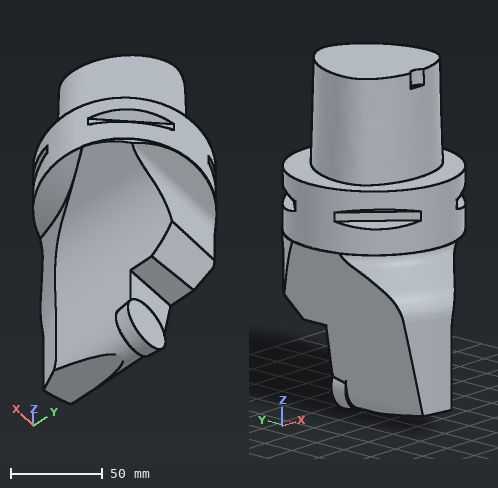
import cadquery as cq
import math


SHANK_LENGTH = 60.0
SHANK_BASE_RADIUS = 36.0
SHANK_TOP_RADIUS = 34.5
LOBE_HEIGHT = 2.5
LOBE_COUNT = 3
SHANK_CURVE_POINTS = 60
KEYWAY_RADIUS = 6.2
KEYWAY_BOTTOM_Y = -29.0
KEYWAY_DEPTH = 8.7

FLANGE_DIAMETER = 100.0
FLANGE_RADIUS = FLANGE_DIAMETER / 2
FLANGE_HEIGHT = 36.3
FLANGE_BOTTOM = -FLANGE_HEIGHT
UNDERSIDE_ANGLE = math.radians(15)
UNDERSIDE_END_RADIUS = 23.3
SLOT_FLOOR_DISTANCE = 44.0
SLOT_FLOOR_HEIGHT = 5.0
SLOT_MOUTH_HEIGHT = 11.3
SLOT_CENTRE_Z = -16.0
SLOT_COUNT = 4

INSERT_RADIUS = 16.0
INSERT_BACK_RADIUS = 15.0
INSERT_THICKNESS = 9.5
INSERT_X = -18.8
TOTAL_LENGTH = 194.0
INSERT_Z = SHANK_LENGTH - TOTAL_LENGTH + INSERT_RADIUS

ARM_RADIUS = 72.5
ARM_ROOT_RADIUS = 50.2
ARM_NOSE_RADIUS = 13.8
ARM_SIDE_ANGLE = math.radians(9.9)
ARM_SIDE_FILLET = 36.9
ARM_BACK_Y = 31.2
ARM_BACK_FILLET = 7.0
CORNER_CUT_ANGLE = -30.0
CORNER_CUT_DISTANCE = 22.3
CORNER_CUT_BEND_Z = -79.5
CORNER_CUT_BEND_RADIUS = 71.8
STEP_TOP_Z = -67.9
LEDGE_Z = -82.5
LEDGE_TILT = math.radians(2.5)
HEEL_Y = -71.2
HEEL_Z = -121.6
HEEL_ANGLE = math.radians(10.9)
FLARE_END_Z = -68.3
FLARE_SWEEP = math.radians(50)
FLARE_NECK_RADIUS = 8.7
FLARE_CREST_RADIUS = 19.4

CLEARANCE = 9.7
REACH = ARM_RADIUS + CLEARANCE
BELOW = SHANK_LENGTH - TOTAL_LENGTH - CLEARANCE


def polar(centre, radius, angle):
    return centre[0] + radius * math.cos(angle), centre[1] + radius * math.sin(angle)


def shank_outline(radius, z):
    """Constant-width three-lobed wire, given by its support function."""
    points = []
    for index in range(SHANK_CURVE_POINTS):
        angle = 2 * math.pi * index / SHANK_CURVE_POINTS
        phase = LOBE_COUNT * (angle - math.pi / 2)
        support = radius + LOBE_HEIGHT * math.cos(phase)
        slope = -LOBE_COUNT * LOBE_HEIGHT * math.sin(phase)
        points.append(cq.Vector(
            support * math.cos(angle) - slope * math.sin(angle),
            support * math.sin(angle) + slope * math.cos(angle),
            z,
        ))
    return cq.Wire.assembleEdges([cq.Edge.makeSpline(points, periodic=True)])


def make_shank():
    base = shank_outline(SHANK_BASE_RADIUS, 0)
    top = shank_outline(SHANK_TOP_RADIUS, SHANK_LENGTH)
    shank = cq.Workplane(cq.Solid.makeLoft([base, top], True))
    keyway = (
        cq.Workplane("XY", origin=(0, KEYWAY_BOTTOM_Y - KEYWAY_RADIUS, SHANK_LENGTH))
        .circle(KEYWAY_RADIUS).extrude(-KEYWAY_DEPTH)
    )
    return shank.cut(keyway)


def underside_z(radius):
    return FLANGE_BOTTOM - (FLANGE_RADIUS - radius) * math.tan(UNDERSIDE_ANGLE)


def make_flange():
    """Disc with a conical underside and four V-sided gripper slots."""
    flange = (
        cq.Workplane("XZ")
        .polyline([
            (0, 0), (FLANGE_RADIUS, 0), (FLANGE_RADIUS, FLANGE_BOTTOM),
            (UNDERSIDE_END_RADIUS, underside_z(UNDERSIDE_END_RADIUS)),
            (0, underside_z(UNDERSIDE_END_RADIUS)),
        ])
        .close().revolve(360, (0, 0), (0, 1))
    )
    floor_half = SLOT_FLOOR_HEIGHT / 2
    mouth_half = SLOT_MOUTH_HEIGHT / 2
    slot = (
        cq.Workplane("XZ")
        .polyline([
            (SLOT_FLOOR_DISTANCE, SLOT_CENTRE_Z - floor_half),
            (FLANGE_RADIUS, SLOT_CENTRE_Z - mouth_half),
            (FLANGE_RADIUS, SLOT_CENTRE_Z + mouth_half),
            (SLOT_FLOOR_DISTANCE, SLOT_CENTRE_Z + floor_half),
        ])
        .close().extrude(FLANGE_RADIUS, both=True)
    )
    spacing = 360 / SLOT_COUNT
    for index in range(SLOT_COUNT):
        flange = flange.cut(slot.rotate((0, 0, 0), (0, 0, 1), spacing * (index + 0.5)))
    return flange


def wall_fillet(wall, radius):
    """Three arc points, wall end first, blending a vertical wall into the flange underside."""
    centre_z = underside_z(wall + radius) - radius / math.cos(UNDERSIDE_ANGLE)
    centre = (wall + radius, centre_z)
    end_angle = math.pi / 2 + UNDERSIDE_ANGLE
    middle_angle = (math.pi + end_angle) / 2
    return [polar(centre, radius, angle) for angle in (math.pi, middle_angle, end_angle)]


def make_arm_blank():
    """Plain cylinder on the +Y half, flared to the arm radius on the -Y half."""
    neck_centre = (ARM_ROOT_RADIUS + FLARE_NECK_RADIUS, FLANGE_BOTTOM)
    crest_centre = (ARM_RADIUS - FLARE_CREST_RADIUS, FLARE_END_Z)
    flare = (
        cq.Workplane("XZ")
        .moveTo(0, FLANGE_BOTTOM)
        .lineTo(ARM_ROOT_RADIUS, FLANGE_BOTTOM)
        .threePointArc(
            polar(neck_centre, FLARE_NECK_RADIUS, math.pi + FLARE_SWEEP / 2),
            polar(neck_centre, FLARE_NECK_RADIUS, math.pi + FLARE_SWEEP),
        )
        .lineTo(*polar(crest_centre, FLARE_CREST_RADIUS, FLARE_SWEEP))
        .threePointArc(
            polar(crest_centre, FLARE_CREST_RADIUS, FLARE_SWEEP / 2),
            (ARM_RADIUS, FLARE_END_Z),
        )
        .lineTo(ARM_RADIUS, BELOW)
        .lineTo(0, BELOW)
        .close().revolve(360, (0, 0), (0, 1))
    )
    front_half = cq.Workplane("XY").box(
        2 * REACH, REACH, 4 * REACH, centered=(True, False, True)
    ).translate((0, -REACH, 0))
    cylinder = (
        cq.Workplane("XY", origin=(0, 0, FLANGE_BOTTOM))
        .circle(ARM_ROOT_RADIUS).extrude(BELOW - FLANGE_BOTTOM)
    )
    return flare.intersect(front_half).union(cylinder)


def make_side_profile():
    """XZ outline of the arm: sloping -X side, rounded nose, vertical +X side blended into the flange."""
    nose_centre = (INSERT_X, INSERT_Z)
    nose_start = polar(nose_centre, ARM_NOSE_RADIUS, math.pi + ARM_SIDE_ANGLE)
    top_left_x = nose_start[0] - (FLANGE_BOTTOM - nose_start[1]) * math.tan(ARM_SIDE_ANGLE)
    wall_x = INSERT_X + ARM_NOSE_RADIUS
    wall_end, blend_middle, blend_end = wall_fillet(wall_x, ARM_SIDE_FILLET)
    return (
        cq.Workplane("XZ")
        .moveTo(top_left_x, FLANGE_BOTTOM)
        .lineTo(*nose_start)
        .threePointArc((INSERT_X, INSERT_Z - ARM_NOSE_RADIUS), (wall_x, INSERT_Z))
        .lineTo(*wall_end)
        .threePointArc(blend_middle, blend_end)
        .lineTo(FLANGE_RADIUS, FLANGE_BOTTOM)
        .close().extrude(REACH, both=True)
    )


def make_end_profile():
    """YZ outline of the arm: back wall, 45 degree slope to the insert face plane, rising heel."""
    wall_end, blend_middle, blend_end = wall_fillet(ARM_BACK_Y, ARM_BACK_FILLET)
    slope_bottom_z = STEP_TOP_Z - ARM_BACK_Y
    heel_run = math.tan(HEEL_ANGLE)
    return (
        cq.Workplane("YZ")
        .moveTo(ARM_ROOT_RADIUS, FLANGE_BOTTOM)
        .lineTo(*blend_end)
        .threePointArc(blend_middle, wall_end)
        .lineTo(ARM_BACK_Y, STEP_TOP_Z)
        .lineTo(0, slope_bottom_z)
        .lineTo(0, HEEL_Z + HEEL_Y * heel_run)
        .lineTo(-REACH, HEEL_Z + (HEEL_Y + REACH) * heel_run)
        .lineTo(-REACH, FLANGE_BOTTOM)
        .close().extrude(REACH, both=True)
    )


def make_ledge_cut():
    """Space in front of the insert face, under a ledge that drops slightly toward +X."""
    ledge_x = -FLANGE_RADIUS + CLEARANCE
    drop = REACH * math.tan(LEDGE_TILT)
    return (
        cq.Workplane("XZ")
        .polyline([
            (ledge_x - REACH, LEDGE_Z + drop), (ledge_x + REACH, LEDGE_Z - drop),
            (ledge_x + REACH, BELOW), (ledge_x - REACH, BELOW),
        ])
        .close().extrude(-REACH)
    )


def make_corner_cut():
    """Block beyond the oblique wall, bent outward near the flange, at the (+X, -Y) corner."""
    bend_centre = (CORNER_CUT_DISTANCE + CORNER_CUT_BEND_RADIUS, CORNER_CUT_BEND_Z)
    bend_rise = math.asin((FLANGE_BOTTOM - CORNER_CUT_BEND_Z) / CORNER_CUT_BEND_RADIUS)
    return (
        cq.Workplane("XZ")
        .moveTo(CORNER_CUT_DISTANCE, BELOW)
        .lineTo(CORNER_CUT_DISTANCE, CORNER_CUT_BEND_Z)
        .threePointArc(
            polar(bend_centre, CORNER_CUT_BEND_RADIUS, math.pi - bend_rise / 2),
            polar(bend_centre, CORNER_CUT_BEND_RADIUS, math.pi - bend_rise),
        )
        .lineTo(REACH, FLANGE_BOTTOM)
        .lineTo(REACH, BELOW)
        .close().extrude(2 * REACH, both=True)
        .rotate((0, 0, 0), (0, 0, 1), CORNER_CUT_ANGLE)
    )


def make_arm():
    arm = make_arm_blank().intersect(make_side_profile()).intersect(make_end_profile())
    return arm.cut(make_ledge_cut()).cut(make_corner_cut())


def make_insert():
    return (
        cq.Workplane("XZ", origin=(INSERT_X, 0, INSERT_Z))
        .circle(INSERT_RADIUS)
        .workplane(offset=INSERT_THICKNESS).circle(INSERT_BACK_RADIUS)
        .loft()
    )


insert = make_insert()
holder = make_flange().union(make_shank()).union(make_arm()).cut(insert)

result = cq.Compound.makeCompound([*holder.vals(), insert.val()])